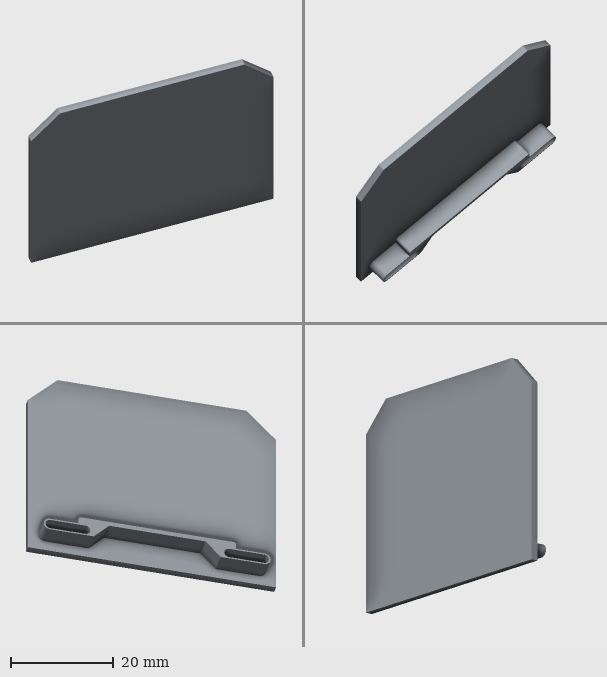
import cadquery as cq

plate_width = 50.0
plate_height = 42.0
plate_thickness = 1.5
corner_cut = 6.0

rail_depth = 4.0
rail_length = 45.7
rail_bottom = 2.1
end_height = 2.6
end_radius = end_height / 2
bar_length = 31.7
bar_top = 6.25
bar_corner_radius = 0.5

relief_top = 5.3
relief_bottom_width = 25.6
relief_top_width = 19.4

slot_length = 9.0
slot_height = 2.0
slot_outer_span = 45.0

end_center_z = rail_bottom + end_radius
slot_center_y = (slot_outer_span - slot_length) / 2


def make_plate():
    return (
        cq.Workplane("YZ")
        .rect(plate_width, plate_height)
        .extrude(plate_thickness)
        .edges("|X and >Z")
        .chamfer(corner_cut)
        .translate((0, 0, plate_height / 2))
    )


def make_rail():
    strip = (
        cq.Workplane("YZ")
        .center(0, end_center_z)
        .slot2D(rail_length, end_height)
        .extrude(-rail_depth)
    )

    bar_height = bar_top - rail_bottom
    bar = (
        cq.Workplane("YZ")
        .center(0, rail_bottom + bar_height / 2)
        .rect(bar_length, bar_height)
        .extrude(-rail_depth)
        .edges("|X and >Z")
        .fillet(bar_corner_radius)
    )

    relief = (
        cq.Workplane("YZ")
        .moveTo(-relief_bottom_width / 2, rail_bottom)
        .lineTo(-relief_top_width / 2, relief_top)
        .lineTo(relief_top_width / 2, relief_top)
        .lineTo(relief_bottom_width / 2, rail_bottom)
        .close()
        .extrude(-rail_depth)
    )

    slots = (
        cq.Workplane("YZ")
        .pushPoints([(-slot_center_y, end_center_z), (slot_center_y, end_center_z)])
        .slot2D(slot_length, slot_height)
        .extrude(-rail_depth)
    )
    return strip.union(bar).cut(relief).cut(slots)


result = make_plate().union(make_rail())